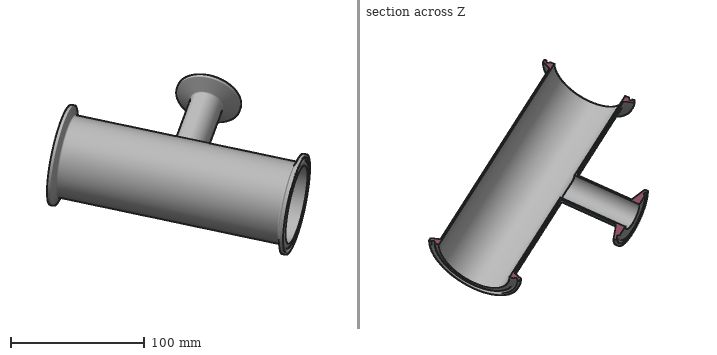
import cadquery as cq
import math


run_length = 184.15
run_outer_dia = 63.5
run_bore_dia = 60.2
branch_reach = 85.725
branch_outer_dia = 25.4
branch_bore_dia = 22.1
branch_weld_radius = 1.5

ferrule_length = 12.7
run_flange_dia = 77.39
branch_flange_dia = 50.39
rim_thickness = 2.87
flange_back_angle = math.radians(20)
rim_edge_radius = 0.4
neck_fillet_radius = 1.0

run_groove_dia = 70.6
branch_groove_dia = 43.6
groove_width = 2.7
groove_depth = 1.5
groove_edge_radius = 0.7


def circles_at_depth(depth, largest_radius):
    """Selector for the circular edges up to one radius at one depth below the end face."""
    tolerance = 0.01
    reach = largest_radius + tolerance
    return cq.selectors.BoxSelector(
        (-reach, -reach, -depth - tolerance),
        (reach, reach, -depth + tolerance),
        boundingbox=True,
    )


def ferrule(flange_dia, tube_dia, groove_dia):
    """Solid ferrule with its end face on Z = 0 and its tube stub toward -Z."""
    flange_radius = flange_dia / 2
    tube_radius = tube_dia / 2
    groove_radius = groove_dia / 2
    groove_inner = groove_radius - groove_width / 2
    groove_outer = groove_radius + groove_width / 2
    cone_end = rim_thickness + (flange_radius - tube_radius) * math.tan(flange_back_angle)
    body = (
        cq.Workplane("XZ")
        .lineTo(groove_inner, 0)
        .threePointArc((groove_radius, -groove_depth), (groove_outer, 0))
        .lineTo(flange_radius, 0)
        .lineTo(flange_radius, -rim_thickness)
        .lineTo(tube_radius, -cone_end)
        .lineTo(tube_radius, -ferrule_length)
        .lineTo(0, -ferrule_length)
        .close()
        .revolve(360, (0, 0, 0), (0, 1, 0))
    )
    neck_circle = circles_at_depth(cone_end, tube_radius)
    rim_circles = cq.selectors.RadiusNthSelector(-1)
    groove_circles = circles_at_depth(0, groove_outer)
    body = body.edges(neck_circle).fillet(neck_fillet_radius)
    body = body.edges(rim_circles).fillet(rim_edge_radius)
    return body.edges(groove_circles).fillet(groove_edge_radius)


def welded_tubes():
    """Solid run and branch tubes, ending at the ferrules, with a fillet weld between them."""
    run_half = run_length / 2 - ferrule_length
    run = cq.Workplane("YZ").circle(run_outer_dia / 2).extrude(run_half, both=True)
    branch = cq.Workplane("XZ").circle(branch_outer_dia / 2).extrude(ferrule_length - branch_reach)
    joint = cq.selectors.BoxSelector(
        (-branch_outer_dia, 0, -branch_outer_dia),
        (branch_outer_dia, run_outer_dia / 2 + branch_weld_radius, branch_outer_dia),
        boundingbox=True,
    )
    return run.union(branch).edges(joint).fillet(branch_weld_radius)


def run_ferrules():
    """The two ferrules on the ends of the run, facing -X and +X."""
    right = (
        ferrule(run_flange_dia, run_outer_dia, run_groove_dia)
        .rotate((0, 0, 0), (0, 1, 0), 90)
        .translate((run_length / 2, 0, 0))
    )
    return right, right.mirror("YZ")


def branch_ferrule():
    """The ferrule on the end of the branch, facing +Y."""
    return (
        ferrule(branch_flange_dia, branch_outer_dia, branch_groove_dia)
        .rotate((0, 0, 0), (1, 0, 0), -90)
        .translate((0, branch_reach, 0))
    )


def bores():
    """Bores through the run and from the run axis out of the branch."""
    run_bore = cq.Workplane("YZ").circle(run_bore_dia / 2).extrude(run_length / 2, both=True)
    branch_bore = cq.Workplane("XZ").circle(branch_bore_dia / 2).extrude(-branch_reach)
    return run_bore.union(branch_bore)


result = welded_tubes()
for end in (*run_ferrules(), branch_ferrule()):
    result = result.union(end)
result = result.cut(bores())